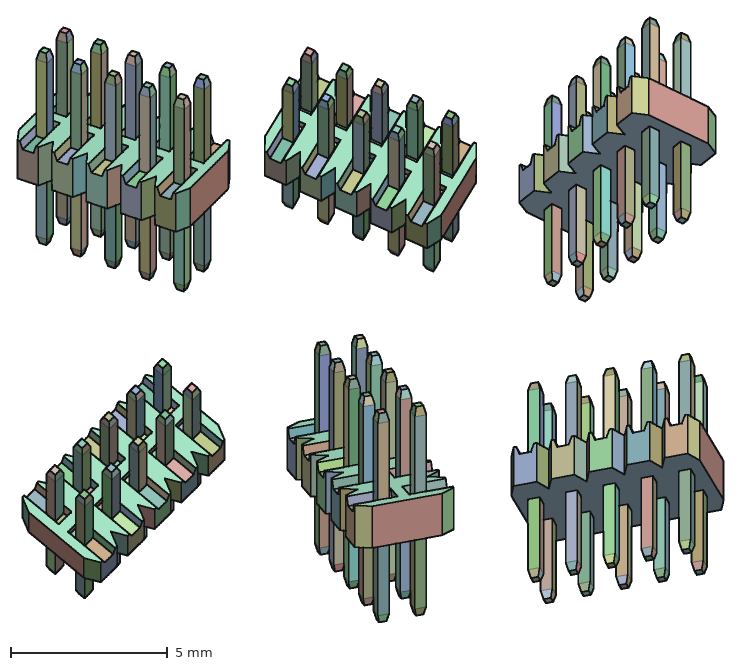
import cadquery as cq

PIN_COUNT = 5
BODY_LENGTH = 6.35
BODY_DEPTH = 3.4
BODY_HEIGHT = 1.5
PITCH = BODY_LENGTH / PIN_COUNT

NOTCH_DEPTH = 0.5
NOTCH_HALF_WIDTH = 0.25

GROOVE_DEPTH = 0.3
GROOVE_TOP_WIDTH = 0.6
GROOVE_FLOOR_WIDTH = 0.39
CENTRE_WEB = 0.4

PIN_LENGTH = 7.5
PIN_WIDTH = 0.4
TIP_WIDTH = 0.25
TIP_LENGTH = 0.3

PIN_X = [(i - (PIN_COUNT - 1) / 2) * PITCH for i in range(PIN_COUNT)]
ROW_SIDES = (-1, 1)
PIN_BOTTOM = (BODY_HEIGHT - PIN_LENGTH) / 2


def make_body():
    """Block with V notches at every pitch boundary along both long sides."""
    body = cq.Workplane("XY").box(BODY_LENGTH, BODY_DEPTH, BODY_HEIGHT, centered=(True, True, False))
    for side in ROW_SIDES:
        outer_y = side * BODY_DEPTH / 2
        tip_y = outer_y - side * NOTCH_DEPTH
        for i in range(PIN_COUNT + 1):
            x = i * PITCH - BODY_LENGTH / 2
            notch = (
                cq.Workplane("XY")
                .polyline([(x - NOTCH_HALF_WIDTH, outer_y), (x, tip_y), (x + NOTCH_HALF_WIDTH, outer_y)])
                .close()
                .extrude(BODY_HEIGHT)
            )
            body = body.cut(notch)
    return body


def make_groove(x, side):
    """Trapezoidal groove from the centre web out through one long side."""
    floor_z = BODY_HEIGHT - GROOVE_DEPTH
    return (
        cq.Workplane("XZ", origin=(0, side * CENTRE_WEB / 2, 0))
        .polyline([
            (x - GROOVE_TOP_WIDTH / 2, BODY_HEIGHT),
            (x - GROOVE_FLOOR_WIDTH / 2, floor_z),
            (x + GROOVE_FLOOR_WIDTH / 2, floor_z),
            (x + GROOVE_TOP_WIDTH / 2, BODY_HEIGHT),
        ])
        .close()
        .extrude(-side * (BODY_DEPTH - CENTRE_WEB) / 2)
    )


def make_pin(x, y):
    """Square pin with a pyramid-shaped taper at each end."""
    shank_length = PIN_LENGTH - 2 * TIP_LENGTH
    shank = (
        cq.Workplane("XY", origin=(x, y, PIN_BOTTOM + TIP_LENGTH))
        .rect(PIN_WIDTH, PIN_WIDTH)
        .extrude(shank_length)
    )
    top_tip = shank.faces(">Z").workplane().rect(PIN_WIDTH, PIN_WIDTH)
    top_tip = top_tip.workplane(offset=TIP_LENGTH).rect(TIP_WIDTH, TIP_WIDTH).loft(combine=False)
    bottom_tip = shank.faces("<Z").workplane().rect(PIN_WIDTH, PIN_WIDTH)
    bottom_tip = bottom_tip.workplane(offset=TIP_LENGTH).rect(TIP_WIDTH, TIP_WIDTH).loft(combine=False)
    return shank.union(top_tip).union(bottom_tip)


result = make_body()
for pin_x in PIN_X:
    for row_side in ROW_SIDES:
        result = result.cut(make_groove(pin_x, row_side))
        result = result.union(make_pin(pin_x, row_side * PITCH / 2))